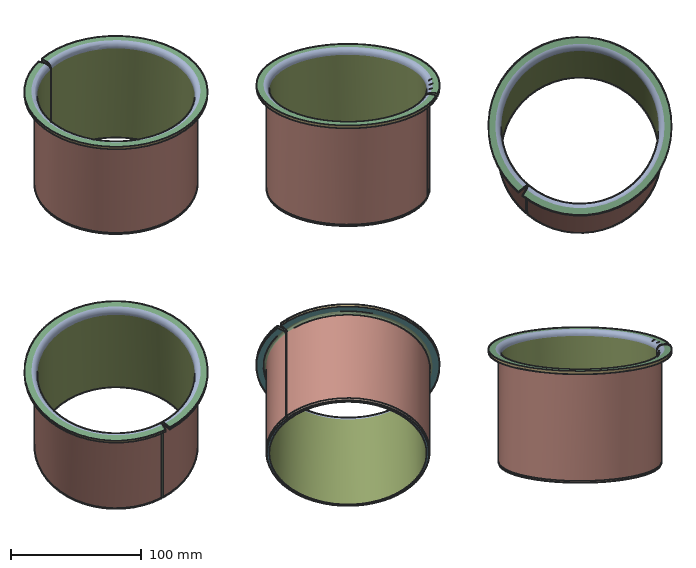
import cadquery as cq
import math

bore_radius = 60.05
sheet_thickness = 2.5
flange_radius = 70.0
total_height = 90.0
outer_bend_radius = 2.0
chamfer_height = 1.8
chamfer_angle = 20.0

bore_gap = 0.7
mouth_width = 4.0
wedge_overshoot = 0.5

sleeve_radius = bore_radius + sheet_thickness
inner_bend_radius = outer_bend_radius + sheet_thickness
bend_center_radius = sleeve_radius + outer_bend_radius
flange_underside = total_height - sheet_thickness
bend_center_height = flange_underside - outer_bend_radius
chamfer_width = chamfer_height * math.tan(math.radians(chamfer_angle))


def bend_midpoint(radius):
    """Point halfway round a bend of the given radius, as (distance from axis, height)."""
    offset = radius * math.sqrt(0.5)
    return bend_center_radius - offset, bend_center_height + offset


def make_sleeve_with_flange():
    """Revolve the section of sleeve, bend and flange, with the seam on the -X side where the joint is."""
    return (
        cq.Workplane("XZ")
        .moveTo(bore_radius, 0)
        .lineTo(sleeve_radius - chamfer_width, 0)
        .lineTo(sleeve_radius, chamfer_height)
        .lineTo(sleeve_radius, bend_center_height)
        .threePointArc(bend_midpoint(outer_bend_radius), (bend_center_radius, flange_underside))
        .lineTo(flange_radius, flange_underside)
        .lineTo(flange_radius, total_height)
        .lineTo(bend_center_radius, total_height)
        .threePointArc(bend_midpoint(inner_bend_radius), (bore_radius, bend_center_height))
        .close()
        .revolve(360, (0, 0, 0), (0, 1, 0))
        .rotate((0, 0, 0), (0, 0, 1), 180)
    )


def make_joint_cutter():
    """Full-height wedge on the -X side, narrow at the bore and widening evenly to the flange rim."""
    half_slope = (mouth_width - bore_gap) / 2 / (flange_radius - bore_radius)

    inner_radius = bore_radius - wedge_overshoot
    outer_radius = flange_radius + wedge_overshoot
    half_inner = bore_gap / 2 - half_slope * wedge_overshoot
    half_outer = mouth_width / 2 + half_slope * wedge_overshoot
    return (
        cq.Workplane("XY")
        .polyline([
            (-inner_radius, half_inner),
            (-outer_radius, half_outer),
            (-outer_radius, -half_outer),
            (-inner_radius, -half_inner),
        ])
        .close()
        .extrude(total_height)
    )


result = make_sleeve_with_flange().cut(make_joint_cutter())